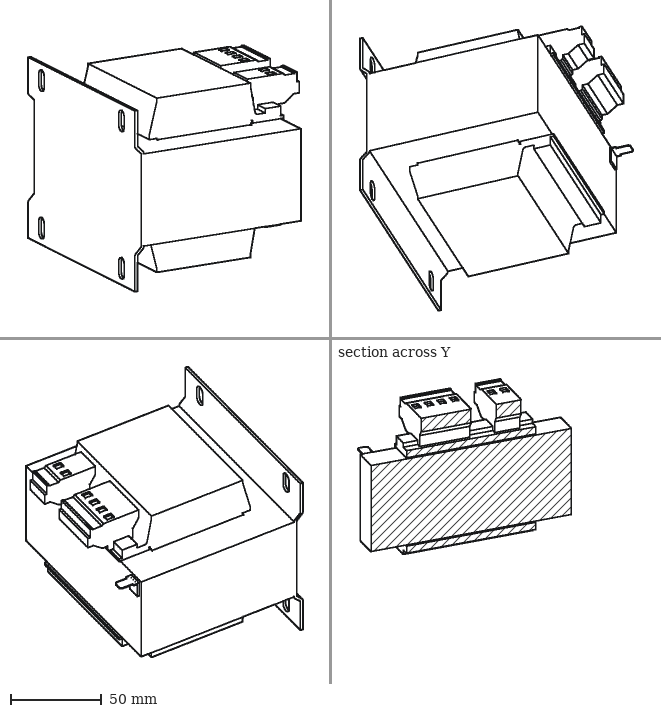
import cadquery as cq
import math

WIDTH = 120.1
CORE_FRONT = 5.7
CORE_BACK = 105.2
CORE_HALF_HEIGHT = 26.5
WINDOW_HALF_WIDTH = 39.7
WINDOW_FRONT = 25.9
WINDOW_BACK = 85.5

SHEET = 1.7
BRACKET_HEIGHT = 104.0
BEND_TOP = 31.5
BEND_INNER_RADIUS = 0.2
BEND_OUTER_RADIUS = BEND_INNER_RADIUS + SHEET
BEND_ANGLE = 45
SLOT_X = 44.9
SLOT_Z = 42.4
SLOT_WIDTH = 6.0
SLOT_LENGTH = 12.1

COIL_HALF_WIDTH = 38.7
COIL_TOP = 50.1
COIL_SHOULDER = 48.2
COIL_TOP_BACK = 85.2
COIL_FRONT = 21.2
COIL_FRONT_SHOULDER = 29.9
BOBBIN_GAP = 0.42
BOBBIN_BASE = CORE_HALF_HEIGHT + BOBBIN_GAP
LEDGE_TOP = 31.6
LEDGE_CORNER_Y = 88.4
LEDGE_FILLET = 1.9
RAIL_FRONT = 94.5
RAIL_BACK = 104.3
RAIL_TOP = 34.1
LIP_BACK = 106.3
LIP_TOP = 28.6
RELIEF_FRONT = 86.0
RELIEF_WIDTH = 0.6
RELIEF_TOP = 28.5

TERMINAL_WIDTH = 15.0
TERMINAL_LEFT_SIDES = (-2 * TERMINAL_WIDTH, -TERMINAL_WIDTH, TERMINAL_WIDTH)
TERMINAL_FRONT = 88.1
TERMINAL_BACK = 121.0
TERMINAL_TOP = 49.8
FOOT_FRONT = 91.9
FOOT_SLOPE_BOTTOM = 38.3
FOOT_SLOPE_TOP = 44.1
TOP_STEP_FRONT = 110.9
TOP_STEP_RUN = 1.2
TOP_STEP_LEVEL = 48.7
RIDGE_FRONT = 118.0
RIDGE_BACK = 119.6
RIDGE_TOP = 49.3
NOSE_TOP = 43.6
NOSE_BOTTOM = 37.0
NOSE_UNDERSIDE_FRONT = 117.4
HOOK_SHOULDER_BACK = 111.6
HOOK_SHOULDER_LEVEL = 32.6
HOOK_BACK = 108.3
HOOK_BOTTOM = 29.0
HOOK_CHAMFER = 1.0
ENTRY_OFFSET = 3.8
ENTRY_WIDTH = 3.6
ENTRY_LENGTH = 4.7
ENTRY_Y = 105.1
ENTRY_DEPTH = 1.2

TAB_X = -53.9
TAB_BASE_WIDTH = 8.2
TAB_BASE_BACK = 108.8
TAB_WIDTH = 6.0
TAB_BACK = 116.7
TAB_CHAMFER = 1.0
TAB_TOP = 24.6
TAB_SHEET = 0.6
TAB_PLATE_THICKNESS = 1.1
TAB_PLATE_HEIGHT = 9.3


def box(x_range, y_range, z_range):
    """Box between two limits on each axis."""
    sizes = [high - low for low, high in (x_range, y_range, z_range)]
    corner = (x_range[0], y_range[0], z_range[0])
    return cq.Workplane("XY").box(*sizes, centered=False).translate(corner)


def make_core():
    """Block with a coil window through its height."""
    half = WIDTH / 2
    z_range = (-CORE_HALF_HEIGHT, CORE_HALF_HEIGHT)
    block = box((-half, half), (CORE_FRONT, CORE_BACK), z_range)
    window = box((-WINDOW_HALF_WIDTH, WINDOW_HALF_WIDTH), (WINDOW_FRONT, WINDOW_BACK), z_range)
    return block.cut(window)


def make_bracket():
    """Bent sheet with angled bends and four mounting slots."""
    top = BRACKET_HEIGHT / 2
    offset = CORE_FRONT - SHEET
    slope_rise = offset / math.tan(math.radians(BEND_ANGLE))
    outer_bend = BEND_TOP - SHEET * math.tan(math.radians(BEND_ANGLE / 2))
    upper = [
        (offset, outer_bend - slope_rise),
        (0, outer_bend),
        (0, top),
        (SHEET, top),
        (SHEET, BEND_TOP),
        (CORE_FRONT, BEND_TOP - slope_rise),
    ]
    lower = [(y, -z) for y, z in reversed(upper)]
    sheet = cq.Workplane("YZ").polyline(upper + lower).close().extrude(WIDTH / 2, both=True)

    bends = [
        (*upper[0], BEND_INNER_RADIUS),
        (*upper[1], BEND_OUTER_RADIUS),
        (*upper[4], BEND_INNER_RADIUS),
        (*upper[5], BEND_OUTER_RADIUS),
    ]
    for y, z, radius in bends:
        for side in (1, -1):
            corner = cq.selectors.NearestToPointSelector((0, y, side * z))
            sheet = sheet.edges("|X").edges(corner).fillet(radius)

    slots = (
        cq.Workplane("XZ")
        .rect(2 * SLOT_X, 2 * SLOT_Z, forConstruction=True)
        .vertices()
        .slot2D(SLOT_LENGTH, SLOT_WIDTH, 90)
        .extrude(-SHEET)
    )
    return sheet.cut(slots)


def make_coil():
    """Coil filling the window, with the same slit bobbin end above and below the core."""
    profile = [
        (COIL_FRONT, BOBBIN_BASE),
        (COIL_FRONT, COIL_FRONT_SHOULDER),
        (WINDOW_FRONT, COIL_SHOULDER),
        (WINDOW_FRONT, COIL_TOP),
        (COIL_TOP_BACK, COIL_TOP),
        (COIL_TOP_BACK, COIL_SHOULDER),
        (LEDGE_CORNER_Y, LEDGE_TOP),
        (RAIL_FRONT, LEDGE_TOP),
        (RAIL_FRONT, RAIL_TOP),
        (RAIL_BACK, RAIL_TOP),
        (RAIL_BACK, LIP_TOP),
        (LIP_BACK, LIP_TOP),
        (LIP_BACK, BOBBIN_BASE),
    ]
    ledge_corner = cq.selectors.NearestToPointSelector((0, LEDGE_CORNER_Y, LEDGE_TOP))
    upper_end = (
        cq.Workplane("YZ")
        .polyline(profile)
        .close()
        .extrude(COIL_HALF_WIDTH, both=True)
        .edges("|X")
        .edges(ledge_corner)
        .fillet(LEDGE_FILLET)
    )
    relief = box(
        (-COIL_HALF_WIDTH, COIL_HALF_WIDTH),
        (RELIEF_FRONT, RELIEF_FRONT + RELIEF_WIDTH),
        (BOBBIN_BASE, RELIEF_TOP),
    )
    upper_end = upper_end.cut(relief)
    winding = box(
        (-COIL_HALF_WIDTH, COIL_HALF_WIDTH),
        (WINDOW_FRONT, WINDOW_BACK),
        (-BOBBIN_BASE, BOBBIN_BASE),
    )
    return winding.union(upper_end).union(upper_end.mirror("XY"))


def make_terminal(left_side):
    """Terminal block standing on the bobbin rail, with two wire entries in its top."""
    profile = [
        (FOOT_FRONT, LEDGE_TOP),
        (FOOT_FRONT, FOOT_SLOPE_BOTTOM),
        (TERMINAL_FRONT, FOOT_SLOPE_TOP),
        (TERMINAL_FRONT, TERMINAL_TOP),
        (TOP_STEP_FRONT, TERMINAL_TOP),
        (TOP_STEP_FRONT + TOP_STEP_RUN, TOP_STEP_LEVEL),
        (RIDGE_FRONT, TOP_STEP_LEVEL),
        (RIDGE_FRONT, RIDGE_TOP),
        (RIDGE_BACK, RIDGE_TOP),
        (RIDGE_BACK, NOSE_TOP),
        (TERMINAL_BACK, NOSE_TOP),
        (TERMINAL_BACK, NOSE_BOTTOM),
        (NOSE_UNDERSIDE_FRONT, NOSE_BOTTOM),
        (HOOK_SHOULDER_BACK, HOOK_SHOULDER_LEVEL),
        (HOOK_BACK, HOOK_SHOULDER_LEVEL),
        (HOOK_BACK, HOOK_BOTTOM + HOOK_CHAMFER),
        (HOOK_BACK - HOOK_CHAMFER, HOOK_BOTTOM),
        (RAIL_BACK, HOOK_BOTTOM),
        (RAIL_BACK, LEDGE_TOP),
    ]
    block = cq.Workplane("YZ").polyline(profile).close().extrude(TERMINAL_WIDTH)
    middle = TERMINAL_WIDTH / 2
    entries = (
        cq.Workplane("XY", origin=(middle, ENTRY_Y, TERMINAL_TOP))
        .pushPoints([(-ENTRY_OFFSET, 0), (ENTRY_OFFSET, 0)])
        .rect(ENTRY_WIDTH, ENTRY_LENGTH)
        .extrude(-ENTRY_DEPTH)
    )
    return block.cut(entries).translate((left_side, 0, 0))


def make_earth_tab():
    """Plate on the back of the core with a stepped blade pointing backwards."""
    def across(width):
        return TAB_X - width / 2, TAB_X + width / 2

    blade_z = (TAB_TOP - TAB_SHEET, TAB_TOP)
    plate = box(
        across(TAB_BASE_WIDTH),
        (CORE_BACK, CORE_BACK + TAB_PLATE_THICKNESS),
        (TAB_TOP - TAB_PLATE_HEIGHT, TAB_TOP),
    )
    base = box(across(TAB_BASE_WIDTH), (CORE_BACK, TAB_BASE_BACK), blade_z)
    blade = box(across(TAB_WIDTH), (CORE_BACK, TAB_BACK), blade_z)
    blade = blade.edges("|Z and >Y").chamfer(TAB_CHAMFER)
    return plate.union(base).union(blade)


result = make_core().union(make_bracket()).union(make_coil()).union(make_earth_tab())
for left_side in TERMINAL_LEFT_SIDES:
    result = result.union(make_terminal(left_side))